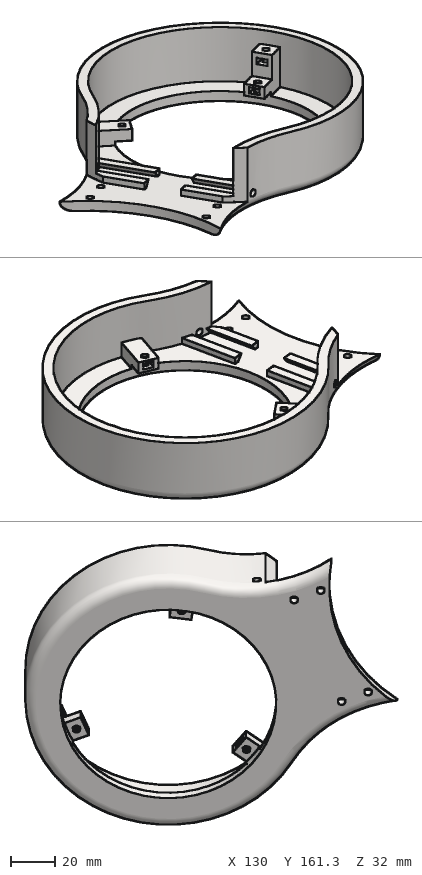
import cadquery as cq
import math

ring_radius = 65.0
total_height = 32.0
wall = 5.0
base = 5.0
waist_y = -80.0
trim_radius = 75.0

opening_radius = 49.0
opening_height = 7.0

block_width = 10.0
block_inner = 41.0
block_step = 50.3
block_top = 12.7
raised_top = 24.8
block_angles = (90, 210, 330)
screw_diameter = 3.4
low_screw = 45.0
high_screw = 55.2
nut_corners = 6.0
nut_height = 3.0
low_nut_floor = 8.4
high_nut_floor = 19.0

rib_width = 5.0
rib_gap = 8.0
rib_height = 3.0
rib_undercut = 2.4
rib_inner_x = 9.0
cross_y = -60.0
cross_z = 7.9

tail_hole_x = 28.5
tail_hole_ys = (-73.4, -86.5)

neck_radius = ring_radius
neck_x = math.sqrt((ring_radius + neck_radius) ** 2 - waist_y ** 2)


def cylinder(diameter, x, y, bottom, top):
    return cq.Workplane("XY", origin=(x, y, bottom)).circle(diameter / 2).extrude(top - bottom)


def keyhole(inset, bottom, top):
    """Ring and flared neck, drawn inwards from the outer surface by inset."""
    radius = ring_radius - inset
    side_radius = neck_radius + inset
    share = radius / (ring_radius + neck_radius)
    join_x = neck_x * share
    join_y = waist_y * share
    foot_y = 2 * waist_y - join_y
    waist_x = neck_x - side_radius
    return (
        cq.Workplane("XY", origin=(0, 0, bottom))
        .moveTo(join_x, join_y)
        .threePointArc((0, radius), (-join_x, join_y))
        .threePointArc((-waist_x, waist_y), (-join_x, foot_y))
        .lineTo(join_x, foot_y)
        .threePointArc((waist_x, waist_y), (join_x, join_y))
        .close()
        .extrude(top - bottom)
    )


def shell():
    """Rounded base plate with the wall standing on it."""
    plate_size = 4 * ring_radius
    body = keyhole(0, 0, total_height).faces("<Z").edges().fillet(base)
    body = body.cut(keyhole(wall, base, total_height))
    wall_limit = cylinder(2 * trim_radius, 0, 0, 0, total_height)
    base_limit = cq.Workplane("XY").box(
        plate_size, plate_size, base, centered=(True, True, False)
    ).translate((0, waist_y, 0))
    body = body.intersect(wall_limit.union(base_limit))
    return body.cut(cylinder(2 * trim_radius, 0, 2 * waist_y, 0, total_height))


def ribs():
    """Two pairs of low ribs with undercut facing sides, ending at the wall and at the wall's end arc."""
    top = base + rib_height
    limit = keyhole(wall / 2, 0, top).intersect(cylinder(2 * trim_radius, 0, 0, 0, top))
    near = rib_gap / 2
    far = near + rib_width
    foot = near + rib_undercut
    profile = [(near, top), (far, top), (far, base / 2), (foot, base / 2), (foot, base)]
    rib = (
        cq.Workplane("YZ", origin=(rib_inner_x, cross_y, 0))
        .polyline(profile)
        .close()
        .extrude(ring_radius - rib_inner_x)
    )
    side = rib.union(rib.mirror("XZ", (0, cross_y, 0)))
    return side.union(side.mirror("YZ")).intersect(limit)


def block(inner, top):
    """Block along +X that runs from inner into the wall."""
    outer = ring_radius - wall / 2
    return cq.Workplane("XY").box(
        outer - inner, block_width, top - base / 2, centered=(False, True, False)
    ).translate((inner, 0, base / 2))


def nut_slot(open_end, screw, floor):
    """Hexagonal nut seat around a screw, open towards the axis."""
    flats = nut_corners * math.cos(math.pi / 6)
    seat = cq.Workplane("XY", origin=(screw, 0, floor)).polygon(6, nut_corners).extrude(nut_height)
    entry = cq.Workplane("XY").box(
        screw - open_end, flats, nut_height, centered=(False, True, False)
    ).translate((open_end, 0, floor))
    return seat.union(entry)


def turned(shape, angle):
    return shape.rotate((0, 0, 0), (0, 0, 1), angle)


rear_angle = block_angles[0]
result = shell().union(ribs())

for angle in block_angles:
    result = result.union(turned(block(block_inner, block_top), angle))
result = result.union(turned(block(block_step, raised_top), rear_angle))
result = result.cut(cylinder(2 * opening_radius, 0, 0, 0, opening_height))

for angle in block_angles:
    result = result.cut(turned(cylinder(screw_diameter, low_screw, 0, 0, block_top), angle))
    result = result.cut(turned(nut_slot(block_inner, low_screw, low_nut_floor), angle))
result = result.cut(turned(cylinder(screw_diameter, high_screw, 0, block_top, raised_top), rear_angle))
result = result.cut(turned(nut_slot(block_step, high_screw, high_nut_floor), rear_angle))

for x in (-tail_hole_x, tail_hole_x):
    for y in tail_hole_ys:
        result = result.cut(cylinder(screw_diameter, x, y, 0, base))

cross_hole = (
    cq.Workplane("YZ", origin=(0, cross_y, cross_z))
    .circle(screw_diameter / 2)
    .extrude(ring_radius, both=True)
)
result = result.cut(cross_hole)